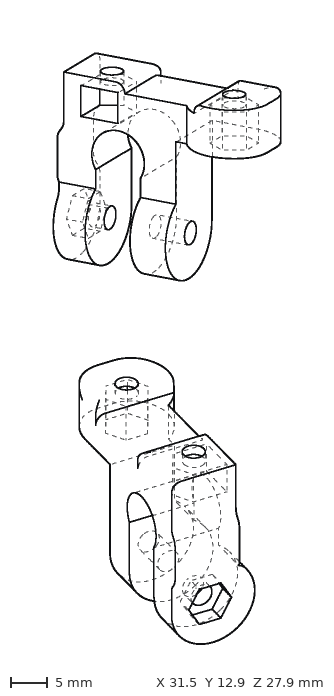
import cadquery as cq
import math

length = 31.5
depth = 12.9
height = 27.88

body_left = 1.0
body_right = 18.52
body_thickness = 10.0
body_front = depth - body_thickness
leg_radius = depth / 2
bore_x = 9.48
bore_radius = 4.1
slot_width = 7.0

arm_thickness = 7.0
arm_bottom = height - arm_thickness
arm_end_x = 25.6
arm_end_radius = depth / 2
arm_corner_radius = 4.85

bulge_top = height - 7.05
bulge_bottom = height - 17.7
blend_height = 2.7

edge_radius = 1.48
relief_depth = edge_radius
relief_left = 10.55
relief_right = 22.55

screw_radius = 1.58
clamp_screw_radius = 1.65
nut_flats = 5.73
nut_corners = nut_flats / math.cos(math.pi / 6)
screw_y = depth / 2
clamp_screw_y = depth - 6.0
clamp_nut_depth = 2.5
nut_roof = height - 1.48
nut_slot_x = 6.55
nut_slot_height = 4.47


def box(x0, x1, y0, y1, z0, z1):
    return cq.Workplane("XY").box(x1 - x0, y1 - y0, z1 - z0, centered=False).translate((x0, y0, z0))


def vertical_hole(x, y, radius, z0, z1):
    return cq.Workplane("XY", origin=(x, y, z0)).circle(radius).extrude(z1 - z0)


def vertical_nut(x, y, z0, z1):
    """Hexagonal prism with corners pointing along Y."""
    hexagon = cq.Workplane("XY").polygon(6, nut_corners).extrude(z1 - z0)
    return hexagon.rotate((0, 0, 0), (0, 0, 1), 90).translate((x, y, z0))


def make_body():
    """Upright block with the side bulge and two round-ended legs."""
    half = blend_height / 2
    half_step = body_left / 2
    blend_radius = (half**2 + half_step**2) / (2 * half_step)
    blend_angle = 2 * math.atan(half_step / half)
    mid_drop = blend_radius * math.sin(blend_angle / 2)
    mid_offset = blend_radius * (1 - math.cos(blend_angle / 2))
    silhouette = (
        cq.Workplane("XZ")
        .moveTo(body_left, 0)
        .lineTo(body_right, 0)
        .lineTo(body_right, height)
        .lineTo(body_left, height)
        .lineTo(body_left, bulge_top)
        .threePointArc((body_left - mid_offset, bulge_top - mid_drop), (half_step, bulge_top - half))
        .threePointArc((mid_offset, bulge_top - blend_height + mid_drop), (0, bulge_top - blend_height))
        .lineTo(0, bulge_bottom + blend_height)
        .threePointArc((mid_offset, bulge_bottom + blend_height - mid_drop), (half_step, bulge_bottom + half))
        .threePointArc((body_left - mid_offset, bulge_bottom + mid_drop), (body_left, bulge_bottom))
        .close()
        .extrude(-depth)
    )
    legs = cq.Workplane("YZ", origin=(0, depth / 2, leg_radius)).circle(leg_radius).extrude(body_right)
    block = box(0, body_right, body_front, depth, leg_radius, height)
    return silhouette.intersect(legs.union(block))


def make_arm():
    """Horizontal arm ending in a disc that is flattened at its far end."""
    disc = vertical_hole(arm_end_x, depth / 2, arm_end_radius, arm_bottom, height)
    disc = disc.intersect(box(0, length, 0, depth, arm_bottom, height))
    disc = disc.edges("|Z and >X").fillet(arm_corner_radius)
    return disc.union(box(bore_x, arm_end_x, body_front, depth, arm_bottom, height))


def edge_waste(x0, x1, top):
    """Material outside the rounded back edge of a face at the given height."""
    corner = box(x0, x1, depth - edge_radius, depth, top - edge_radius, top)
    axis = (x0, depth - edge_radius, top - edge_radius)
    return corner.cut(cq.Workplane("YZ", origin=axis).circle(edge_radius).extrude(x1 - x0))


def make_relief():
    """Recess across the top, flaring outwards over a rounded edge at each end."""
    floor = height - relief_depth
    bend = edge_radius * math.sqrt(0.5)
    left_axis = relief_left - edge_radius
    right_axis = relief_right + edge_radius
    return (
        cq.Workplane("XZ")
        .moveTo(relief_left, floor)
        .threePointArc((left_axis + bend, floor + bend), (left_axis, height))
        .lineTo(right_axis, height)
        .threePointArc((right_axis - bend, floor + bend), (relief_right, floor))
        .close()
        .extrude(-depth)
    )


def make_clamp_opening():
    """Round bore with a narrower slot open at the bottom."""
    bore_z = arm_bottom - bore_radius
    bore = cq.Workplane("XZ", origin=(bore_x, 0, bore_z)).circle(bore_radius).extrude(-depth)
    half_slot = slot_width / 2
    return bore.union(box(bore_x - half_slot, bore_x + half_slot, 0, depth, 0, bore_z))


def make_clamp_screw():
    """Cross hole through both legs with a nut recess in the left leg."""
    plane = cq.Workplane("YZ", origin=(0, clamp_screw_y, leg_radius))
    hole = plane.circle(clamp_screw_radius).extrude(body_right)
    nut = plane.polygon(6, nut_corners).extrude(body_left + clamp_nut_depth)
    return hole.union(nut)


def make_nut_slot():
    """Screw hole in the top pad above a nut slot entered from the front."""
    floor = nut_roof - nut_slot_height
    half_nut = nut_flats / 2
    entry = box(nut_slot_x - half_nut, nut_slot_x + half_nut, 0, screw_y, floor, nut_roof)
    nut = vertical_nut(nut_slot_x, screw_y, floor, nut_roof)
    return entry.union(nut).union(vertical_hole(nut_slot_x, screw_y, screw_radius, floor, height))


def make_arm_screw():
    """Through hole in the arm end with a deep nut pocket from below."""
    hole = vertical_hole(arm_end_x, screw_y, screw_radius, arm_bottom, height)
    return hole.union(vertical_nut(arm_end_x, screw_y, arm_bottom, nut_roof))


result = make_body().union(make_arm())
result = result.cut(edge_waste(0, length, height)).cut(make_relief())
result = result.cut(edge_waste(relief_left, relief_right, height - relief_depth))
for opening in (make_clamp_opening(), make_clamp_screw(), make_nut_slot(), make_arm_screw()):
    result = result.cut(opening)